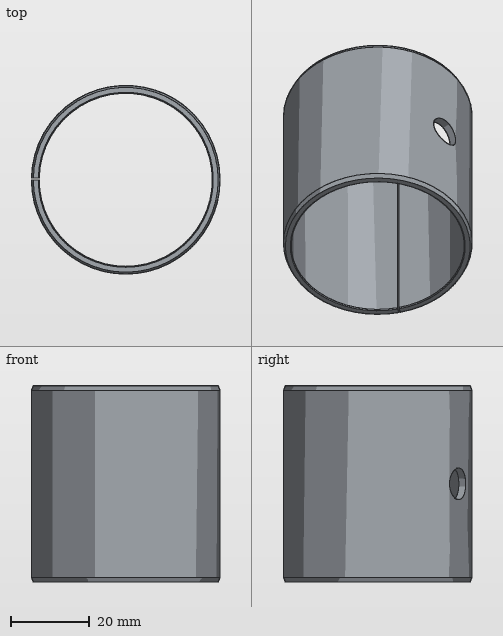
import cadquery as cq

length = 50.0
outer_diameter = 48.0
wall = 2.0
inner_diameter = outer_diameter - 2 * wall

outer_chamfer_length = 1.2
outer_chamfer_depth = 0.5
inner_chamfer = 0.25

joint_gap = 0.4
joint_offset = joint_gap / 2

hole_diameter = 8.0
hole_angle = 59.0
hole_height = length / 2


def make_sleeve():
    """Revolve the chamfered wall section about the Z axis."""
    inner_radius = inner_diameter / 2
    outer_radius = outer_diameter / 2
    section = [
        (inner_radius + inner_chamfer, 0),
        (outer_radius - outer_chamfer_depth, 0),
        (outer_radius, outer_chamfer_length),
        (outer_radius, length - outer_chamfer_length),
        (outer_radius - outer_chamfer_depth, length),
        (inner_radius + inner_chamfer, length),
        (inner_radius, length - inner_chamfer),
        (inner_radius, inner_chamfer),
    ]
    return cq.Workplane("XZ").polyline(section).close().revolve(360, (0, 0), (0, 1))


def make_joint_cutter():
    """Thin slab that splits the wall along its full length on the -X side."""
    slab = cq.Workplane("XY").box(outer_diameter, joint_gap, length, centered=(True, True, False))
    return slab.translate((-outer_diameter / 2, joint_offset, 0))


def make_hole_cutter():
    """Radial cylinder from the axis out through one side of the wall."""
    cylinder = cq.Workplane("YZ").circle(hole_diameter / 2).extrude(outer_diameter)
    return cylinder.rotate((0, 0, 0), (0, 0, 1), hole_angle).translate((0, 0, hole_height))


result = make_sleeve().cut(make_joint_cutter()).cut(make_hole_cutter())